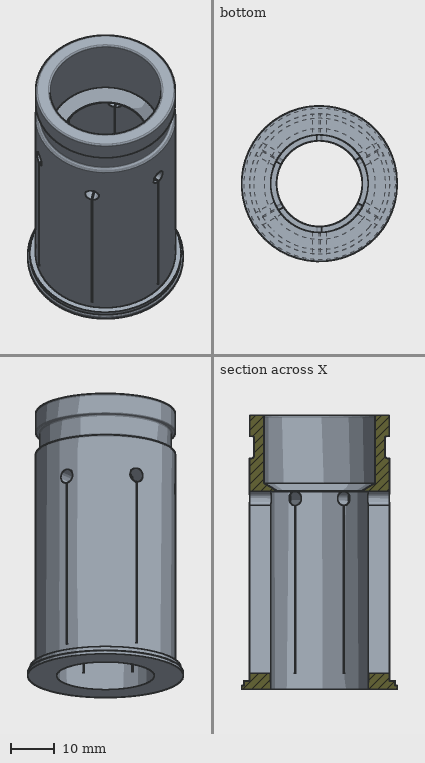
import cadquery as cq
import math

total_height = 62.5
flange_height = 1.9
flange_lip_height = 0.9
collar_height = 4.85
groove_width = 5.0

body_diameter = 32.0
collar_diameter = 31.9
groove_diameter = 30.0
flange_diameter = 34.5
flange_lip_diameter = 35.5

rear_bore_diameter = 25.3
stop_diameter = 19.5
clamping_bore_diameter = 22.23
rear_bore_depth = 15.5
drill_point_angle = 118.0
clamping_bore_depth = 45.0

mouth_round = 0.4
collar_top_round = 0.4
collar_bottom_round = 0.2
body_top_round = 0.3
groove_lower_round = 0.5
groove_upper_round = 0.2
lip_round = 0.2

slit_count = 6
slit_width = 0.3
slit_bottom = 3.7
relief_hole_diameter = 3.2
relief_hole_height = 43.5
first_slit_angle = 30.0


def revolve_about_z(profile):
    return profile.revolve(360, (0, 0, 0), (0, 1, 0))


def make_outside():
    """Solid of revolution: flange with a wider lip, body, groove and rear collar."""
    lip_radius = flange_lip_diameter / 2
    flange_radius = flange_diameter / 2
    body_radius = body_diameter / 2
    groove_radius = groove_diameter / 2
    collar_radius = collar_diameter / 2
    collar_bottom = total_height - collar_height
    body_top = collar_bottom - groove_width
    profile = (
        cq.Workplane("XZ")
        .lineTo(lip_radius, 0)
        .lineTo(lip_radius, flange_lip_height - lip_round)
        .radiusArc((lip_radius - lip_round, flange_lip_height), -lip_round)
        .lineTo(flange_radius, flange_lip_height)
        .lineTo(flange_radius, flange_height)
        .lineTo(body_radius, flange_height)
        .lineTo(body_radius, body_top - body_top_round)
        .radiusArc((body_radius - body_top_round, body_top), -body_top_round)
        .lineTo(groove_radius + groove_lower_round, body_top)
        .radiusArc((groove_radius, body_top + groove_lower_round), groove_lower_round)
        .lineTo(groove_radius, collar_bottom - groove_upper_round)
        .radiusArc((groove_radius + groove_upper_round, collar_bottom), groove_upper_round)
        .lineTo(collar_radius - collar_bottom_round, collar_bottom)
        .radiusArc((collar_radius, collar_bottom + collar_bottom_round), -collar_bottom_round)
        .lineTo(collar_radius, total_height - collar_top_round)
        .radiusArc((collar_radius - collar_top_round, total_height), -collar_top_round)
        .lineTo(0, total_height)
        .close()
    )
    return revolve_about_z(profile)


def make_bore():
    """Rear bore, conical shoulder, stop ring and clamping bore, as one revolved cutter."""
    rear_radius = rear_bore_diameter / 2
    stop_radius = stop_diameter / 2
    clamping_radius = clamping_bore_diameter / 2
    cone_top = total_height - rear_bore_depth
    cone_height = (rear_radius - stop_radius) / math.tan(math.radians(drill_point_angle / 2))
    profile = (
        cq.Workplane("XZ")
        .lineTo(clamping_radius, 0)
        .lineTo(clamping_radius, clamping_bore_depth)
        .lineTo(stop_radius, clamping_bore_depth)
        .lineTo(stop_radius, cone_top - cone_height)
        .lineTo(rear_radius, cone_top)
        .lineTo(rear_radius, total_height - mouth_round)
        .radiusArc((rear_radius + mouth_round, total_height), mouth_round)
        .lineTo(0, total_height)
        .close()
    )
    return revolve_about_z(profile)


def make_slit(angle):
    """Radial slit with its relief hole, pointing outward at the given angle about Z."""
    reach = flange_lip_diameter / 2
    slit_height = relief_hole_height - slit_bottom
    slit = (
        cq.Workplane("XY")
        .workplane(offset=slit_bottom)
        .box(reach, slit_width, slit_height, centered=(False, True, False))
    )
    hole = (
        cq.Workplane("YZ")
        .center(0, relief_hole_height)
        .circle(relief_hole_diameter / 2)
        .extrude(reach)
    )
    return slit.union(hole).rotate((0, 0, 0), (0, 0, 1), angle)


result = make_outside().cut(make_bore())
for index in range(slit_count):
    result = result.cut(make_slit(first_slit_angle + index * 360 / slit_count))